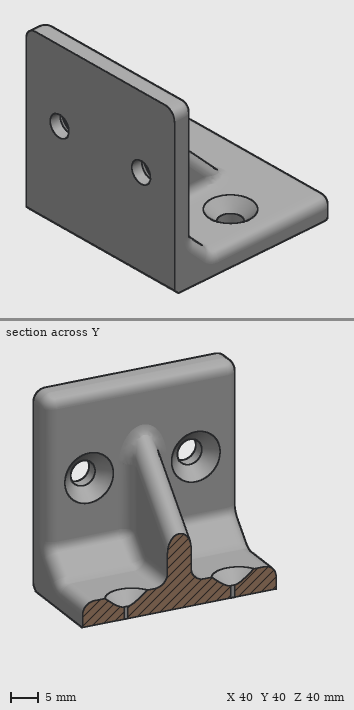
import cadquery as cq
import math

size = 40.0
thickness = 5.0
round_radius = thickness / 2
inner_bevel = 5.0
outer_chamfer = 1.0
rib_width = 5.0
rib_leg = 25.0
hole_diameter = 5.0
sink_diameter = 10.0
hole_spacing = 22.0
hole_distance = 22.5
tolerance = 0.05

bevel_end = thickness + inner_bevel


def make_plates():
    """Two square plates joined by a beveled inner corner, with rounded rims."""
    profile = [
        (0, 0),
        (size, 0),
        (size, thickness),
        (bevel_end, thickness),
        (thickness, bevel_end),
        (thickness, size),
        (0, size),
    ]
    body = cq.Workplane("YZ").polyline(profile).close().extrude(size / 2, both=True)

    for y, z in [(bevel_end, thickness), (thickness, bevel_end)]:
        bend = cq.selectors.BoxSelector(
            (-tolerance, y - tolerance, z - tolerance),
            (tolerance, y + tolerance, z + tolerance),
        )
        body = body.edges(bend).fillet(round_radius)

    body = body.edges("|Z and >Y").fillet(round_radius)
    body = body.edges("|Y and >Z").fillet(round_radius)
    rim_start = cq.selectors.BoxSelector(
        (size / 2 - tolerance, bevel_end, thickness - tolerance),
        (size / 2 + tolerance, size, thickness + tolerance),
    )
    body = body.edges(rim_start).fillet(round_radius)
    return body.edges("|X and <Y and <Z").chamfer(outer_chamfer)


def make_rib():
    """Diagonal rib with a fully rounded sloping crest."""
    crest_sum = 2 * thickness + rib_leg
    axis_sum = crest_sum - rib_width / 2 * math.sqrt(2)
    root = thickness / 2
    web = (
        cq.Workplane("YZ")
        .polyline([(root, root), (axis_sum - root, root), (root, axis_sum - root)])
        .close()
        .extrude(rib_width / 2, both=True)
    )
    crest = cq.Workplane(
        cq.Solid.makeCylinder(
            rib_width / 2,
            axis_sum * math.sqrt(2),
            cq.Vector(0, axis_sum, 0),
            cq.Vector(0, -1, 1),
        )
    )
    limits = cq.Workplane("XY").box(rib_width, size, size, centered=(True, False, False))
    return web.union(crest.intersect(limits.translate((0, root, root))))


def blend_rib(body):
    """Fillet the line where the rib meets the plates."""
    zone = cq.selectors.BoxSelector(
        (-rib_width / 2 - tolerance, thickness - tolerance, thickness - tolerance),
        (rib_width / 2 + tolerance, size, size),
        boundingbox=True,
    )
    return body.edges(zone).edges("not |(0,-1,1)").fillet(round_radius)


def make_hole_cutter(x, outer_face, direction):
    """Countersunk hole cutter running from an outer face toward the inner one."""
    sink_depth = (sink_diameter - hole_diameter) / 2
    base = cq.Vector(x, *outer_face)
    bore = cq.Solid.makeCylinder(hole_diameter / 2, thickness, base, direction)
    sink = cq.Solid.makeCone(
        hole_diameter / 2,
        sink_diameter / 2,
        sink_depth,
        base + direction * (thickness - sink_depth),
        direction,
    )
    return cq.Workplane(bore).union(cq.Workplane(sink))


result = blend_rib(make_plates().union(make_rib()))

for hole_x in (-hole_spacing / 2, hole_spacing / 2):
    result = result.cut(make_hole_cutter(hole_x, (hole_distance, 0), cq.Vector(0, 0, 1)))
    result = result.cut(make_hole_cutter(hole_x, (0, hole_distance), cq.Vector(0, 1, 0)))